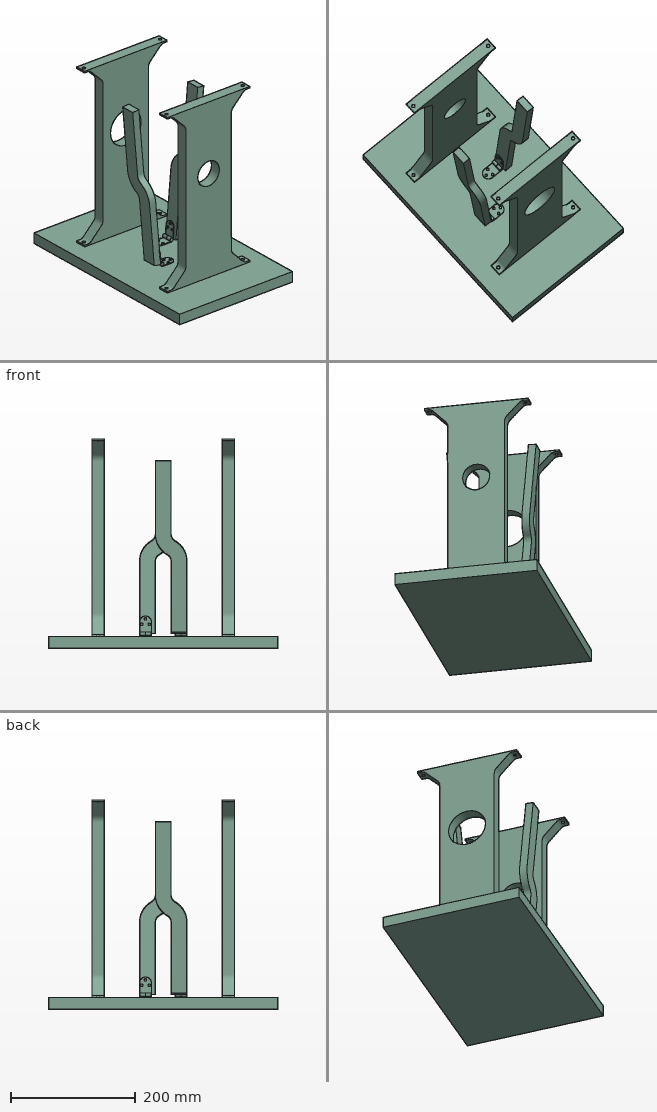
import cadquery as cq
import math

BASE_LENGTH = 368.3
BASE_WIDTH = 235.0
BASE_THICKNESS = 19.0

UPRIGHT_HEIGHT = 317.5
UPRIGHT_THICKNESS = 20.3
UPRIGHT_OFFSET = 104.5
POST_WIDTH = 94.3
FLANGE_LENGTH = 171.5
FLANGE_THICKNESS = 3.0
FLARE_SIZE = 27.5
POST_FILLET = 14.0
FLANGE_FILLET = 9.2
FLANGE_HOLE_DIAMETER = 5.0
FLANGE_HOLE_INSET = 6.5
FLANGE_HOLE_DEPTH = 7.5
BORE_HEIGHT = 188.0
LARGE_BORE_DIAMETER = 63.5
SMALL_BORE_DIAMETER = 44.5

LEVER_WIDTH = 25.5
LEVER_THICKNESS = 13.0
LEVER_LENGTH = 279.5
LEVER_LEAN = 5.0
LEVER_FOOT_Y = 37.0
LEVER_FOOT_GAP = 4.5
LEVER_FOOT_RISE = 4.0
LOWER_STRAIGHT = 117.0
BEND_ANGLE = math.radians(60)
BEND_INNER_RADIUS = LEVER_WIDTH / 2
BEND_OUTER_RADIUS = LEVER_WIDTH * 3 / 2

LEAF_WIDTH = 19.0
LEAF_LENGTH = 28.5
LEAF_THICKNESS = 1.5
LEAF_HOLE_DIAMETER = 4.0
LEAF_HOLE_SPACING = 11.8
TIP_HOLE_INSET = 4.5
PAIR_HOLE_INSET = 13.3
BARREL_RADIUS = 3.3
BARREL_Y = 33.0
BARREL_HEIGHT = 4.0

LEVER_OUTER_X = LEVER_WIDTH * 3 / 2
LEAF_MIDDLE_X = LEVER_OUTER_X - LEAF_WIDTH / 2

LEAN_RADIANS = math.radians(LEVER_LEAN)
LEVER_FRAME = cq.Plane(
    origin=(0, -LEVER_FOOT_Y, BASE_THICKNESS + LEVER_FOOT_GAP),
    xDir=(1, 0, 0),
    normal=(0, -math.cos(LEAN_RADIANS), -math.sin(LEAN_RADIANS)),
)
FLOOR_FRAME = cq.Plane(origin=(0, -BARREL_Y, BASE_THICKNESS), xDir=(1, 0, 0), normal=(0, 0, 1))


def make_base():
    return cq.Workplane("XY").box(BASE_LENGTH, BASE_WIDTH, BASE_THICKNESS, centered=(True, True, False))


def make_flare_cutter(y_side, z_side):
    """Prism outside one flared corner, with both bends of the flare rounded."""
    post_y = POST_WIDTH / 2
    outside_y = FLANGE_LENGTH / 2
    flange_z = UPRIGHT_HEIGHT / 2 - FLANGE_THICKNESS
    corners = [
        (post_y, 0),
        (post_y, flange_z - FLARE_SIZE),
        (post_y + FLARE_SIZE, flange_z),
        (outside_y, flange_z),
        (outside_y, 0),
    ]
    cutter = (
        cq.Workplane("YZ")
        .polyline([(y_side * y, z_side * z) for y, z in corners])
        .close()
        .extrude(UPRIGHT_THICKNESS / 2, both=True)
    )
    post_bend = cq.selectors.NearestToPointSelector((0, y_side * corners[1][0], z_side * corners[1][1]))
    flange_bend = cq.selectors.NearestToPointSelector((0, y_side * corners[2][0], z_side * corners[2][1]))
    cutter = cutter.edges(post_bend).fillet(POST_FILLET)
    return cutter.edges(flange_bend).fillet(FLANGE_FILLET)


def make_upright(x, bore_diameter):
    """Post standing on the base plate, built around its own centre and then placed."""
    upright = cq.Workplane("XY").box(UPRIGHT_THICKNESS, FLANGE_LENGTH, UPRIGHT_HEIGHT)
    hole_y = FLANGE_LENGTH / 2 - FLANGE_HOLE_INSET
    for y_side in (-1, 1):
        for z_side in (-1, 1):
            flange_hole = (
                cq.Workplane("XY", origin=(0, y_side * hole_y, z_side * UPRIGHT_HEIGHT / 2))
                .circle(FLANGE_HOLE_DIAMETER / 2)
                .extrude(-z_side * FLANGE_HOLE_DEPTH)
            )
            upright = upright.cut(make_flare_cutter(y_side, z_side)).cut(flange_hole)
    bore = (
        cq.Workplane("YZ", origin=(0, 0, BORE_HEIGHT - UPRIGHT_HEIGHT / 2))
        .circle(bore_diameter / 2)
        .extrude(UPRIGHT_THICKNESS, both=True)
    )
    return upright.cut(bore).translate((x, 0, BASE_THICKNESS + UPRIGHT_HEIGHT / 2))


def make_lever():
    """Leaning lever on the -Y side; its grip is centred on X = 0 and its foot lies towards +X."""
    half_width = LEVER_WIDTH / 2
    bend_top = LOWER_STRAIGHT + 2 * LEVER_WIDTH * math.sin(BEND_ANGLE)
    lower_centre = (0, LOWER_STRAIGHT)
    upper_centre = (LEVER_WIDTH, bend_top)

    def arc_point(centre, radius, angle):
        return (centre[0] + radius * math.cos(angle), centre[1] + radius * math.sin(angle))

    half_bend = BEND_ANGLE / 2
    back_bend = math.pi + BEND_ANGLE
    back_half_bend = math.pi + half_bend
    lever = (
        cq.Workplane(LEVER_FRAME)
        .moveTo(half_width, 0)
        .lineTo(LEVER_OUTER_X, 0)
        .lineTo(LEVER_OUTER_X, LOWER_STRAIGHT)
        .threePointArc(
            arc_point(lower_centre, BEND_OUTER_RADIUS, half_bend),
            arc_point(lower_centre, BEND_OUTER_RADIUS, BEND_ANGLE),
        )
        .threePointArc(
            arc_point(upper_centre, BEND_INNER_RADIUS, back_half_bend),
            (half_width, bend_top),
        )
        .lineTo(half_width, LEVER_LENGTH)
        .lineTo(-half_width, LEVER_LENGTH)
        .lineTo(-half_width, bend_top)
        .threePointArc(
            arc_point(upper_centre, BEND_OUTER_RADIUS, back_half_bend),
            arc_point(upper_centre, BEND_OUTER_RADIUS, back_bend),
        )
        .threePointArc(
            arc_point(lower_centre, BEND_INNER_RADIUS, half_bend),
            (half_width, LOWER_STRAIGHT),
        )
        .close()
        .extrude(LEVER_THICKNESS)
    )
    return lever.cut(make_foot_bevel())


def make_foot_bevel():
    """Wedge that slopes the lever's lower end up towards its outer face."""
    inner = LEVER_FRAME.toWorldCoords((0, 0, 0))
    outer_low = LEVER_FRAME.toWorldCoords((0, 0, LEVER_THICKNESS))
    outer_high = LEVER_FRAME.toWorldCoords((0, LEVER_FOOT_RISE, LEVER_THICKNESS))
    return (
        cq.Workplane("YZ")
        .polyline([(point.y, point.z) for point in (inner, outer_low, outer_high)])
        .close()
        .extrude(LEVER_OUTER_X)
    )


def make_leaf_plate(frame, thickness):
    """Leaf with a rounded tip and three screw holes; thickness is signed along the frame's normal."""
    half_spacing = LEAF_HOLE_SPACING / 2
    pair_y = LEAF_LENGTH - PAIR_HOLE_INSET
    hole_places = [
        (LEAF_MIDDLE_X, LEAF_LENGTH - TIP_HOLE_INSET),
        (LEAF_MIDDLE_X - half_spacing, pair_y),
        (LEAF_MIDDLE_X + half_spacing, pair_y),
    ]
    tip_straight = LEAF_LENGTH - LEAF_WIDTH / 2
    left = LEAF_MIDDLE_X - LEAF_WIDTH / 2
    right = LEAF_MIDDLE_X + LEAF_WIDTH / 2
    plate = (
        cq.Workplane(frame)
        .moveTo(left, 0)
        .lineTo(right, 0)
        .lineTo(right, tip_straight)
        .threePointArc((LEAF_MIDDLE_X, LEAF_LENGTH), (left, tip_straight))
        .close()
        .extrude(thickness)
    )
    holes = cq.Workplane(frame).pushPoints(hole_places).circle(LEAF_HOLE_DIAMETER / 2).extrude(thickness)
    return plate.cut(holes)


def make_knuckle(x_start):
    """Half of the hinge barrel."""
    return (
        cq.Workplane("YZ", origin=(x_start, -BARREL_Y, BASE_THICKNESS + BARREL_HEIGHT))
        .circle(BARREL_RADIUS)
        .extrude(LEAF_WIDTH / 2)
    )


def make_floor_leaf():
    own_knuckle = make_knuckle(LEAF_MIDDLE_X - LEAF_WIDTH / 2)
    mating_knuckle = make_knuckle(LEAF_MIDDLE_X)
    return make_leaf_plate(FLOOR_FRAME, LEAF_THICKNESS).cut(mating_knuckle).union(own_knuckle)


def make_lever_leaf():
    own_knuckle = make_knuckle(LEAF_MIDDLE_X)
    mating_knuckle = make_knuckle(LEAF_MIDDLE_X - LEAF_WIDTH / 2)
    return make_leaf_plate(LEVER_FRAME, -LEAF_THICKNESS).cut(mating_knuckle).union(own_knuckle)


base = make_base()
uprights = [
    make_upright(-UPRIGHT_OFFSET, LARGE_BORE_DIAMETER),
    make_upright(UPRIGHT_OFFSET, SMALL_BORE_DIAMETER),
]

levers = []
floor_leaves = []
lever_leaves = []
for turn in (0, 180):
    levers.append(make_lever().rotate((0, 0, 0), (0, 0, 1), turn))
    floor_leaves.append(make_floor_leaf().rotate((0, 0, 0), (0, 0, 1), turn))
    lever_leaves.append(make_lever_leaf().rotate((0, 0, 0), (0, 0, 1), turn))

result = cq.Compound.makeCompound(
    [base.val()] + [body.val() for body in uprights + levers + floor_leaves + lever_leaves]
)